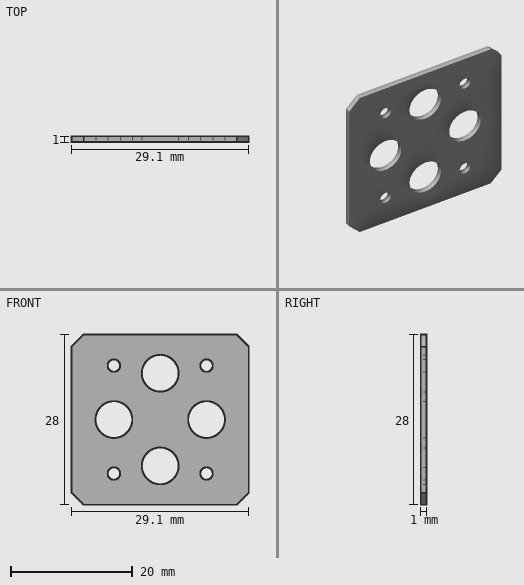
import cadquery as cq

width = 29.15
height = 28.0
thickness = 1.0
corner_chamfer = 2.0

large_diameter = 6.0
large_offset = 7.6
small_diameter = 2.0
small_offset_x = large_offset
small_offset_z = 8.85

large_centres = [
    (large_offset, 0),
    (-large_offset, 0),
    (0, large_offset),
    (0, -large_offset),
]

plate = cq.Workplane("XY").box(width, thickness, height).edges("|Y").chamfer(corner_chamfer)

result = (
    plate.faces("<Y").workplane(centerOption="CenterOfBoundBox")
    .pushPoints(large_centres)
    .hole(large_diameter)
    .faces("<Y").workplane(centerOption="CenterOfBoundBox")
    .rect(2 * small_offset_x, 2 * small_offset_z, forConstruction=True)
    .vertices()
    .hole(small_diameter)
)